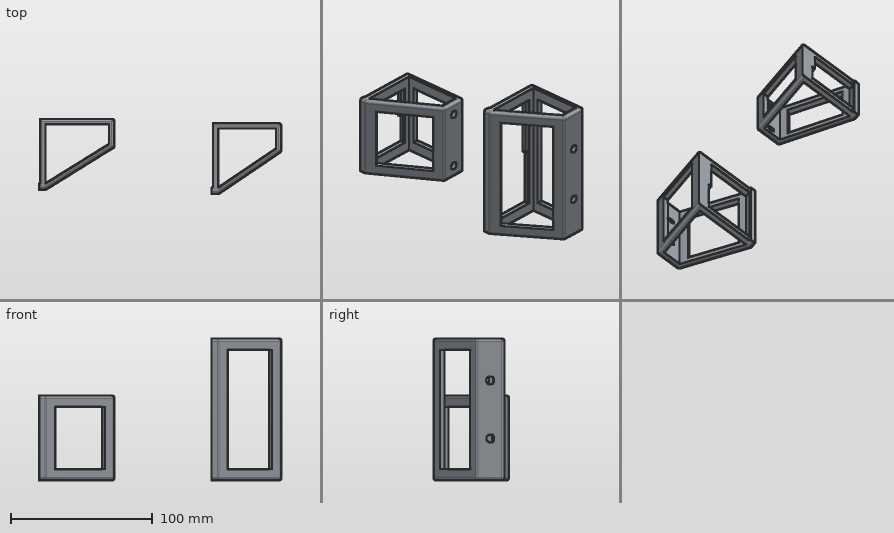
import cadquery as cq
import math

DEPTH = 50.0
SIDE_DEPTH = 20.0
WALL = 4.0
BORDER = 8.0
EDGE_RADIUS = 2.0
LEFT_BORDER_UPPER = 11.1
LEFT_BORDER_LOWER = 8.9
RECESS_DEPTH = 1.2
HOLE_DIAMETER = 5.5
HOLE_FROM_BACK = 10.0
LIP_DEPTH = 4.0

TOTAL_LENGTH = 170.7
LARGE_SETBACK = 3.0

SMALL_HEIGHT = 60.0
SMALL_WIDTH = 53.1
SMALL_LIP = 0.7
SMALL_HOLE_INSET = 9.0
LARGE_HEIGHT = 100.0
LARGE_WIDTH = 49.3
LARGE_LIP = 1.0
LARGE_HOLE_INSET = 29.5


def box(x0, x1, y0, y1, z0, z1):
    """Axis-aligned block between two opposite corners."""
    return cq.Workplane("XY").box(x1 - x0, y1 - y0, z1 - z0, centered=False).translate((x0, y0, z0))


def rounded_prism(width, height, lip, slope):
    """Outer block with rounded edges everywhere but around the left face."""
    lip_taper = lip / math.tan(slope)
    outline = [
        (0, 0),
        (lip + WALL, 0),
        (width, DEPTH - SIDE_DEPTH),
        (width, DEPTH),
        (lip, DEPTH),
        (lip, LIP_DEPTH + lip_taper),
        (0, LIP_DEPTH),
    ]
    block = cq.Workplane("XY").polyline(outline).close().extrude(height)
    left_region = cq.selectors.BoxSelector((-1.7, -1.7, -1.7), (lip + WALL / 4, DEPTH + 1.7, height + 1.7))
    left_edges = block.edges(left_region).vals()
    rounded = [e for e in block.edges().vals() if not any(e.isSame(left) for left in left_edges)]
    return block.newObject(rounded).fillet(EDGE_RADIUS)


def bracket(width, height, lip, hole_inset):
    """Four-walled frame, open at both ends, with its lip at the front left corner."""
    inner_left = lip + WALL
    inner_right = width - WALL
    run = width - inner_left
    rise = DEPTH - SIDE_DEPTH
    slope = math.atan2(rise, run)
    slope_length = math.hypot(run, rise)
    inner_front = WALL / math.cos(slope)
    inner_back = DEPTH - WALL
    window_bottom = BORDER
    window_top = height - BORDER

    body = rounded_prism(width, height, lip, slope)

    cavity = [
        (inner_left, inner_front),
        (inner_right, inner_front + (inner_right - inner_left) * math.tan(slope)),
        (inner_right, inner_back),
        (inner_left, inner_back),
    ]
    body = body.cut(cq.Workplane("XY").polyline(cavity).close().extrude(height))

    sloped_window = box(BORDER, slope_length - BORDER, -WALL, WALL, window_bottom, window_top)
    sloped_window = sloped_window.rotate((0, 0, 0), (0, 0, 1), math.degrees(slope))
    body = body.cut(sloped_window.translate((inner_left, 0, 0)))

    body = body.cut(box(lip + BORDER, width - BORDER, inner_back, DEPTH, window_bottom, window_top))

    middle = height / 2
    upper_back = DEPTH - LEFT_BORDER_UPPER
    lower_back = DEPTH - LEFT_BORDER_LOWER
    body = body.cut(box(0, inner_left, inner_front, upper_back, middle, window_top))
    body = body.cut(box(0, inner_left, inner_front, lower_back, window_bottom, middle))

    rebate_left = inner_left - RECESS_DEPTH
    rebate_back = DEPTH - BORDER
    body = body.cut(box(rebate_left, inner_left, inner_front, rebate_back, window_bottom, window_top))

    for z in (hole_inset, height - hole_inset):
        hole = cq.Workplane("YZ").circle(HOLE_DIAMETER / 2).extrude(2 * WALL)
        body = body.cut(hole.translate((inner_right - WALL / 2, DEPTH - HOLE_FROM_BACK, z)))
    return body


small_bracket = bracket(SMALL_WIDTH, SMALL_HEIGHT, SMALL_LIP, SMALL_HOLE_INSET)
small_bracket = small_bracket.translate((0, LARGE_SETBACK, 0))

large_bracket = bracket(LARGE_WIDTH, LARGE_HEIGHT, LARGE_LIP, LARGE_HOLE_INSET)
large_bracket = large_bracket.translate((TOTAL_LENGTH - LARGE_WIDTH, 0, 0))

result = cq.Compound.makeCompound([small_bracket.val(), large_bracket.val()])